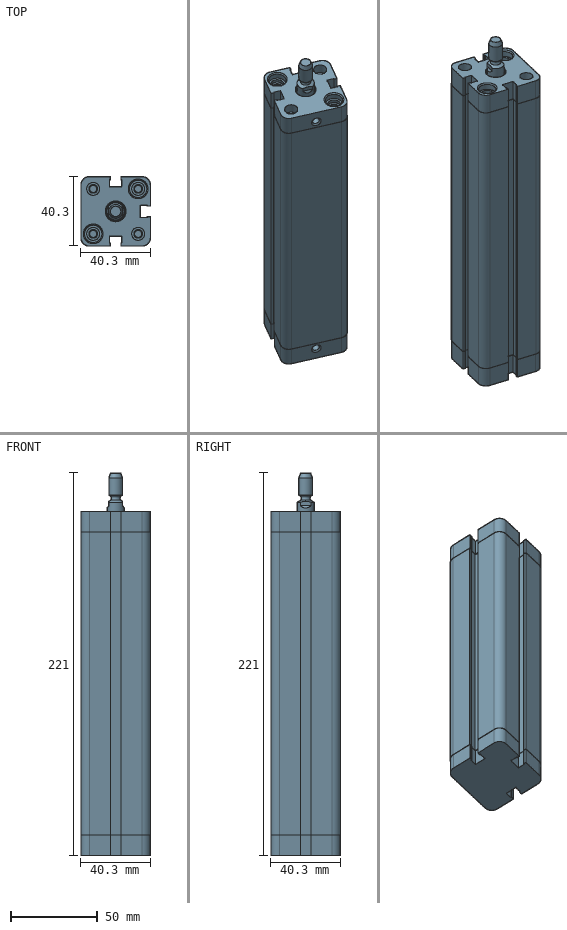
import cadquery as cq

body_height = 199.0
cap_height = 12.0
barrel_width = 40.3
cap_width = 40.1
corner_radius = 4.9

slot_angles = (-90, 0, 90)
slot_mouth_width = 6.0
slot_width = 7.0
barrel_slot_depth = 5.65
cap_slot_depth = 5.9
slot_lip = 1.8

rod_diameter = 10.0
rod_top = 221.0
thread_diameter = 8.0
thread_bottom = 208.3
tip_diameter = 6.0
tip_cone_height = 2.67
thread_runout = 0.6
shoulder_diameter = 6.0
neck_diameter = 5.2
collar_top = 205.4
collar_cone_height = 1.2
flats_width = 8.0
flats_bottom = 202.2
flats_ramp_height = 1.3

recess_diameter = 11.1
recess_rim_diameter = 12.0
recess_depth = 2.0

hole_spacing = 26.0
thread_hole_diameter = 4.13
thread_hole_depth = 10.0
thread_rim_diameter = 5.0
bore_diameter = 7.5
bore_depth = 6.0
wide_bore_diameter = 10.0
wide_bore_rim_diameter = 11.4
wide_bore_depth = 4.0

port_diameter = 4.13
port_rim_diameter = 5.8
port_depth = 8.0
front_port_height = body_height - 7.5
rear_port_height = 7.75


def blind_hole(diameter, depth, rim_diameter):
    """Tool for a flat-bottomed hole going down from the origin, with a 45-degree bevel at its mouth."""
    radius = diameter / 2
    rim_radius = rim_diameter / 2
    bevel = rim_radius - radius
    outline = [(0, 0), (rim_radius, 0), (radius, -bevel), (radius, -depth), (0, -depth)]
    return cq.Workplane("XZ").polyline(outline).close().revolve(360, (0, 0), (0, 1))


def plain_hole(diameter, depth):
    """Tool for a flat-bottomed hole going down from the origin."""
    return cq.Workplane("XY").circle(diameter / 2).extrude(-depth)


def slot(face_distance, depth, height):
    """Tool for one T-shaped slot in the +X face."""
    floor = face_distance - depth
    groove_end = face_distance - slot_lip
    half_groove = slot_width / 2
    half_mouth = slot_mouth_width / 2
    outline = [
        (floor, -half_groove),
        (groove_end, -half_groove),
        (groove_end, -half_mouth),
        (face_distance, -half_mouth),
        (face_distance, half_mouth),
        (groove_end, half_mouth),
        (groove_end, half_groove),
        (floor, half_groove),
    ]
    return cq.Workplane("XY").polyline(outline).close().extrude(height)


def slotted_block(width, slot_depth, height, base):
    """Square block with rounded corners and the three sensor slots, standing at the given height."""
    block = cq.Workplane("XY").rect(width, width).extrude(height).edges("|Z").fillet(corner_radius)
    for angle in slot_angles:
        block = block.cut(slot(width / 2, slot_depth, height).rotate((0, 0, 0), (0, 0, 1), angle))
    return block.translate((0, 0, base))


def air_port(height):
    """Tool for the air port in the -X face of a cap."""
    port = blind_hole(port_diameter, port_depth, port_rim_diameter)
    return port.rotate((0, 0, 0), (0, 1, 0), -90).translate((-cap_width / 2, 0, height))


def narrow_mounting_hole():
    threaded_part = blind_hole(thread_hole_diameter, thread_hole_depth - bore_depth, thread_rim_diameter)
    return plain_hole(bore_diameter, bore_depth).union(threaded_part.translate((0, 0, -bore_depth)))


def wide_mounting_hole():
    wide_bore = blind_hole(wide_bore_diameter, wide_bore_depth, wide_bore_rim_diameter)
    return narrow_mounting_hole().union(wide_bore)


def rod_opening():
    """Tool for the through hole of the rod and the recess around it."""
    recess = blind_hole(recess_diameter, recess_depth, recess_rim_diameter)
    return plain_hole(rod_diameter, cap_height).union(recess)


def make_rear_cap():
    return slotted_block(cap_width, cap_slot_depth, cap_height, 0).cut(air_port(rear_port_height))


def make_barrel():
    return slotted_block(barrel_width, barrel_slot_depth, body_height - 2 * cap_height, cap_height)


def make_front_cap():
    cap = slotted_block(cap_width, cap_slot_depth, cap_height, body_height - cap_height)
    cap = cap.cut(rod_opening().translate((0, 0, body_height)))
    offset = hole_spacing / 2
    for side in (-offset, offset):
        cap = cap.cut(wide_mounting_hole().translate((side, side, body_height)))
        cap = cap.cut(narrow_mounting_hole().translate((side, -side, body_height)))
    return cap.cut(air_port(front_port_height))


def make_piston_rod():
    """Rod standing on the barrel, turned to its profile and milled with the wrench flats."""
    rod_bottom = body_height - cap_height
    neck_top = thread_bottom - thread_runout
    neck_middle = (collar_top + neck_top) / 2
    rod = (
        cq.Workplane("XZ")
        .moveTo(0, rod_bottom)
        .lineTo(rod_diameter / 2, rod_bottom)
        .lineTo(rod_diameter / 2, collar_top - collar_cone_height)
        .lineTo(shoulder_diameter / 2, collar_top)
        .threePointArc((neck_diameter / 2, neck_middle), (shoulder_diameter / 2, neck_top))
        .lineTo(thread_diameter / 2, thread_bottom)
        .lineTo(thread_diameter / 2, rod_top - tip_cone_height)
        .lineTo(tip_diameter / 2, rod_top)
        .lineTo(0, rod_top)
        .close()
        .revolve(360, (0, 0), (0, 1))
    )

    rod_radius = rod_diameter / 2
    flat_distance = flats_width / 2
    ramp_bottom = flats_bottom - flats_ramp_height
    flat_outline = [
        (flat_distance, collar_top),
        (flat_distance, flats_bottom),
        (rod_radius, ramp_bottom),
        (rod_radius, collar_top),
    ]
    flat = cq.Workplane("XZ").polyline(flat_outline).close().extrude(rod_radius, both=True)
    return rod.cut(flat).cut(flat.mirror("YZ"))


rear_cap = make_rear_cap()
barrel = make_barrel()
front_cap = make_front_cap()
piston_rod = make_piston_rod()

result = cq.Compound.makeCompound([rear_cap.val(), barrel.val(), front_cap.val(), piston_rod.val()])